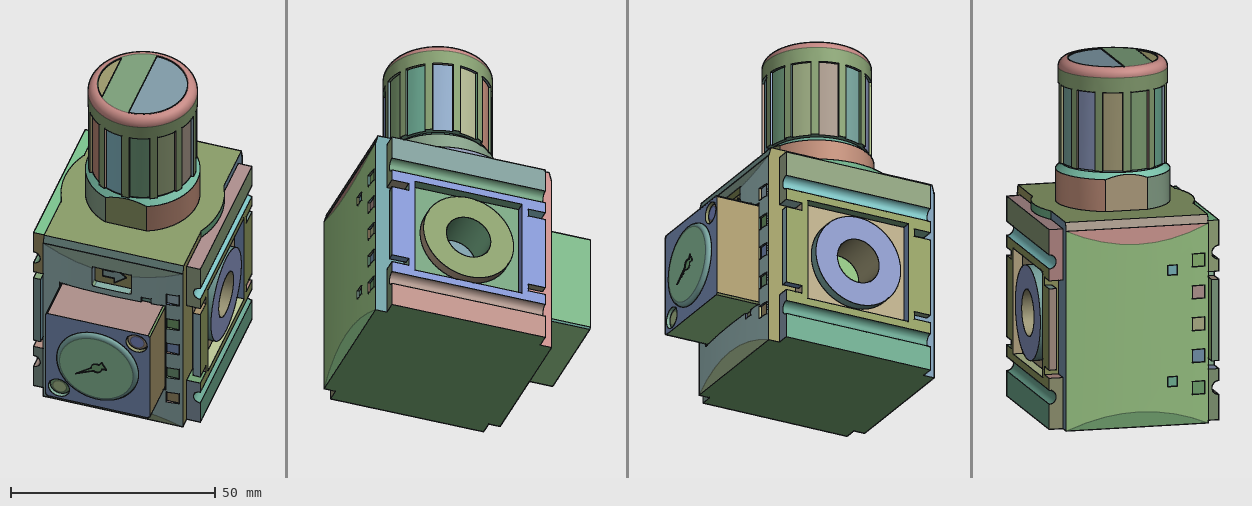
import cadquery as cq

total_height = 87.8
total_width = 43.0

body_half_width = 18.0
body_half_depth = 23.0
bow_height = 1.05
bow_half_depth = body_half_depth + bow_height
shoulder_height = 50.05
body_height = 52.15
bevel_height = 4.0
plate_side_radius = 20.0
plate_ledge = 0.1

flange_half_depth = 20.0
flange_half_width = total_width / 2
lip_thickness = 1.8
port_height = shoulder_height / 2
port_pocket_width = 27.9
port_pocket_height = 26.5
port_pocket_depth = 2.5
port_boss_radius = 11.8
port_bore_radius = 5.8
port_bore_depth = 10.5
rail_groove_radius = 1.75
rail_groove_offset = 16.95
undercut_height = 24.4
undercut_depth_y = 4.4
lip_height = 20.4

mark_size = 3.25
mark_x = 15.45
mark_pitch = 8.0
mark_count = 5
mark_floor = 22.8
small_mark_size = 2.5
small_mark_x = 8.8
small_mark_offset = 14.0
small_mark_floor = 23.35

panel_width = 10.1
panel_bottom = 40.6
panel_top = 46.7
panel_floor = 21.95
panel_corner_radius = 0.5
arrow_length = 6.15
arrow_head_length = 3.2
arrow_head_width = 5.1
arrow_shaft_width = 2.1
arrow_depth = 0.3

collar_radius = 14.05
collar_half_flats = 13.0
collar_chamfer = 1.5
collar_top = 61.6

knob_radius = 13.4
knob_bottom = 62.1
knob_rounding = 2.3
neck_radius = 10.6
rib_count = 12
rib_width = 1.9
groove_depth = 0.6
groove_top = 81.7
cap_recess_radius = 11.0
cap_recess_depth = 0.3
cap_strip_width = 8.0

gauge_size = 26.9
gauge_chamfer = 0.4
gauge_face = 34.9
seat_gap = 0.3
dial_radius = 10.5
dial_height = 1.1
dial_rounding = 1.05
screw_radius = 2.7
screw_head_height = 1.05
screw_rounding = 1.0
screw_hole_depth = 1.6
screw_offset = 10.0
needle_depth = 0.3
needle_length = 6.2
needle_half_width = 0.6
needle_hub_radius = 1.3
needle_tail_length = 2.3
needle_tail_half_width = 1.2
needle_angle = 31.0


def block(x_range, y_range, z_range):
    """Box between the given limits."""
    (x0, x1), (y0, y1), (z0, z1) = x_range, y_range, z_range
    return cq.Workplane("XY").box(x1 - x0, y1 - y0, z1 - z0, centered=False).translate((x0, y0, z0))


def front_plane(distance, x=0.0, z=0.0):
    """Sketch plane facing -Y, the given distance in front of the knob axis."""
    return cq.Workplane("XZ", origin=(x, -distance, z))


def disc(radius, bottom, top):
    """Cylinder about the knob axis."""
    return cq.Workplane("XY").workplane(offset=bottom).circle(radius).extrude(top - bottom)


def bowed_body():
    """Body with bowed front and back, cover plate, and bevels at the top and bottom."""
    w, d = body_half_width, body_half_depth
    bowed = (
        cq.Workplane("XY")
        .moveTo(-w, -d)
        .threePointArc((0, -bow_half_depth), (w, -d))
        .lineTo(w, d)
        .threePointArc((0, bow_half_depth), (-w, d))
        .close()
        .extrude(shoulder_height)
    )
    plate_z = (shoulder_height, body_height)
    plate = block((-w, w), (-d, d), plate_z).union(disc(plate_side_radius, *plate_z))

    top_half_depth = d - plate_ledge - (body_height - shoulder_height) * bow_height / bevel_height
    back_edge = [
        (d, 0),
        (bow_half_depth, bevel_height),
        (bow_half_depth, shoulder_height - bevel_height),
        (d, shoulder_height),
        (d - plate_ledge, shoulder_height),
        (top_half_depth, body_height),
    ]
    front_edge = [(-y, z) for y, z in reversed(back_edge)]
    bevels = (
        cq.Workplane("YZ")
        .polyline(back_edge + front_edge)
        .close()
        .extrude(total_width / 2, both=True)
    )
    return bowed.union(plate).intersect(bevels)


def side_flange():
    """Flange on the +X side with rail grooves, undercuts and the port boss."""
    x_in, x_out = body_half_width, flange_half_width
    x_lip = x_out - lip_thickness
    y = flange_half_depth
    flange = block((x_in, x_out), (-y, y), (0, shoulder_height))

    rails = (
        cq.Workplane("XZ", origin=(x_out, y, port_height))
        .pushPoints([(0, -rail_groove_offset), (0, rail_groove_offset)])
        .circle(rail_groove_radius)
        .extrude(2 * y)
    )
    flange = flange.cut(rails)

    undercut_z = (port_height - undercut_height / 2, port_height + undercut_height / 2)
    lip_z = (port_height - lip_height / 2, port_height + lip_height / 2)
    for y_range in ((-y, undercut_depth_y - y), (y - undercut_depth_y, y)):
        lip = block((x_lip, x_out), y_range, lip_z)
        flange = flange.cut(block((x_in, x_out), y_range, undercut_z).cut(lip))

    pocket = (
        cq.Workplane("YZ", origin=(x_out - port_pocket_depth, 0, port_height))
        .rect(port_pocket_width, port_pocket_height)
        .circle(port_boss_radius)
        .extrude(port_pocket_depth)
    )
    return flange.cut(pocket)


def port_bore():
    """Blind bore of the +X port."""
    return (
        cq.Workplane("YZ", origin=(flange_half_width - port_bore_depth, 0, port_height))
        .circle(port_bore_radius)
        .extrude(port_bore_depth)
    )


def face_marks():
    """Cutters for the shallow square marks beside the gauge."""
    mark_rows = [(i - (mark_count - 1) / 2) * mark_pitch for i in range(mark_count)]
    large = (
        front_plane(mark_floor, mark_x, port_height)
        .pushPoints([(0, row) for row in mark_rows])
        .rect(mark_size, mark_size)
        .extrude(bow_half_depth - mark_floor)
    )
    small = (
        front_plane(small_mark_floor, small_mark_x, port_height)
        .pushPoints([(0, -small_mark_offset), (0, small_mark_offset)])
        .rect(small_mark_size, small_mark_size)
        .extrude(bow_half_depth - small_mark_floor)
    )
    return large.add(small).combine()


def arrow_panel():
    """Cutter for the recessed panel and the flow arrow engraved in its floor."""
    half = panel_width / 2
    panel = block((-half, half), (-bow_half_depth, -panel_floor), (panel_bottom, panel_top))
    panel = panel.edges("|Y and <Z").fillet(panel_corner_radius)
    tail = -arrow_length / 2
    neck = arrow_length / 2 - arrow_head_length
    shaft = arrow_shaft_width / 2
    head = arrow_head_width / 2
    arrow = (
        front_plane(panel_floor - arrow_depth, z=(panel_bottom + panel_top) / 2)
        .polyline([
            (tail, -shaft), (neck, -shaft), (neck, -head), (arrow_length / 2, 0),
            (neck, head), (neck, shaft), (tail, shaft),
        ])
        .close()
        .extrude(arrow_depth)
    )
    return panel.union(arrow)


def gauge_seat():
    """Cutter for the flat seat of the gauge in the bowed front."""
    seat_size = gauge_size + 2 * seat_gap
    return (
        front_plane(body_half_depth, z=port_height)
        .rect(seat_size, seat_size)
        .extrude(bow_height)
    )


def make_housing():
    housing = bowed_body()
    flange = side_flange()
    bore = port_bore()
    for turn in (0, 180):
        housing = housing.union(flange.rotate((0, 0, 0), (0, 0, 1), turn))
    for turn in (0, 180):
        housing = housing.cut(bore.rotate((0, 0, 0), (0, 0, 1), turn))
        housing = housing.cut(face_marks().rotate((0, 0, 0), (0, 0, 1), turn))
    return housing.cut(arrow_panel()).cut(gauge_seat())


def make_collar():
    """Round collar with a chamfered top and two wrench flats."""
    collar = disc(collar_radius, body_height, collar_top).faces(">Z").chamfer(collar_chamfer)
    flats = block(
        (-collar_radius, collar_radius),
        (-collar_half_flats, collar_half_flats),
        (body_height, collar_top),
    )
    return collar.intersect(flats)


def grip_grooves():
    """Cutter for the grooves between the ribs of the knob."""
    grooves = (
        cq.Workplane("XY")
        .workplane(offset=knob_bottom)
        .circle(knob_radius)
        .circle(knob_radius - groove_depth)
        .extrude(groove_top - knob_bottom)
    )
    half = rib_width / 2
    rib = block((0, knob_radius + 0.9), (-half, half), (knob_bottom, groove_top))
    for i in range(rib_count):
        grooves = grooves.cut(rib.rotate((0, 0, 0), (0, 0, 1), i * 360 / rib_count))
    return grooves


def cap_recess():
    """Cutter for the shallow recesses on both sides of the strip across the cap."""
    floor = total_height - cap_recess_depth
    strip = block(
        (-cap_strip_width, 0),
        (-cap_recess_radius, cap_recess_radius),
        (floor, total_height),
    )
    return disc(cap_recess_radius, floor, total_height).cut(strip)


def make_knob():
    knob = disc(knob_radius, knob_bottom, total_height).faces(">Z").edges().fillet(knob_rounding)
    knob = knob.cut(grip_grooves()).cut(cap_recess())
    return knob.union(disc(neck_radius, collar_top, knob_bottom))


def rounded_button(distance, radius, height, rounding, x=0.0, z=0.0):
    """Disc facing -Y whose front edge is rounded."""
    button = front_plane(distance, x, z).circle(radius).extrude(height)
    return button.faces("<Y").edges().fillet(rounding)


def screw_ring(x, z):
    """Cutter for the space around and above a sunk, rounded screw head."""
    floor = gauge_face - screw_hole_depth
    hole = front_plane(floor, x, z).circle(screw_radius).extrude(screw_hole_depth)
    return hole.cut(rounded_button(floor, screw_radius, screw_head_height, screw_rounding, x, z))


def needle():
    """Cutter for the engraved needle on the dial."""
    plane = front_plane(gauge_face + dial_height - needle_depth)
    pointer = (
        plane.polyline([(-needle_length, 0), (0, -needle_half_width), (0, needle_half_width)])
        .close()
        .extrude(needle_depth)
    )
    tail = (
        plane.polyline([
            (0, 0),
            (needle_tail_length, -needle_tail_half_width),
            (needle_tail_length, needle_tail_half_width),
        ])
        .close()
        .extrude(needle_depth)
    )
    hub = plane.circle(needle_hub_radius).extrude(needle_depth)
    shape = pointer.union(hub).union(tail)
    return shape.rotate((0, 0, 0), (0, -1, 0), needle_angle).translate((0, 0, port_height))


def make_gauge():
    gauge = (
        front_plane(body_half_depth, z=port_height)
        .rect(gauge_size, gauge_size)
        .extrude(gauge_face - body_half_depth)
        .edges("|Y")
        .chamfer(gauge_chamfer)
    )
    dial = rounded_button(gauge_face, dial_radius, dial_height, dial_rounding, z=port_height)
    gauge = gauge.union(dial)
    for side in (-1, 1):
        gauge = gauge.cut(screw_ring(side * screw_offset, port_height + side * screw_offset))
    return gauge.cut(needle())


housing = make_housing()
collar = make_collar()
knob = make_knob()
gauge = make_gauge()

bodies = [housing, collar, knob, gauge]
result = cq.Compound.makeCompound([body.solids().val() for body in bodies])